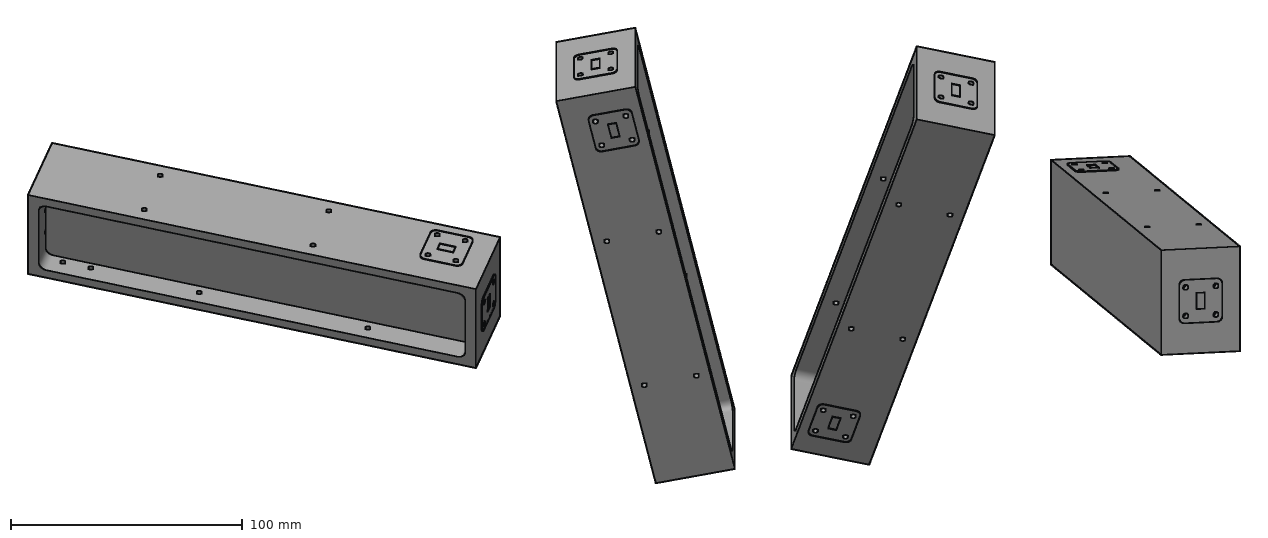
import cadquery as cq

overall_length = 203.2
overall_height = 47.0
depth = 35.0
pad_thickness = 0.5
length = overall_length - 2 * pad_thickness
height = overall_height - 2 * pad_thickness

end_wall = 4.9
side_wall = 4.5
pocket_depth = 10.0
pocket_corner = 3.7

pad_size = 19.0
pad_corner = 2.5
port_length = 7.1
port_width = 3.7
bolt_spacing_long = 12.5
bolt_spacing_wide = 13.5
bolt_diameter = 2.2
bolt_depth = 5.0
flange_inset = 20.0
flange_offset = 3.7
flange_x = length / 2 - flange_inset

mount_spacing_x = 76.2
mount_spacing_y = 23.0
mount_offset_x = -12.4
mount_diameter = 2.2
mount_depth = 6.0

X_AXIS = (1, 0, 0)
Z_AXIS = (0, 0, 1)


def make_pocket():
    """Rounded rectangular pocket volume, open at the front face."""
    return (
        cq.Workplane("XZ", origin=(0, -depth / 2, 0))
        .rect(length - 2 * end_wall, height - 2 * side_wall)
        .extrude(-pocket_depth)
        .edges("|Y")
        .fillet(pocket_corner)
    )


def hole_grid(plane, spacing_x, spacing_y, diameter, hole_depth):
    """Four blind holes at the corners of a rectangle, going down from the plane."""
    return (
        cq.Workplane(plane)
        .rect(spacing_x, spacing_y, forConstruction=True)
        .vertices()
        .circle(diameter / 2)
        .extrude(-hole_depth)
    )


def add_flange(body, center, long_axis, normal):
    """Raised rounded pad with a port recess and four bolt holes, centred on a box face."""
    box_face = cq.Plane(center, long_axis, normal)
    pad_face = cq.Workplane(box_face).workplane(offset=pad_thickness).plane
    outline = cq.Sketch().rect(pad_size, pad_size).vertices().fillet(pad_corner)
    pad = cq.Workplane(box_face).placeSketch(outline).extrude(pad_thickness)
    port = cq.Workplane(pad_face).rect(port_length, port_width).extrude(-pad_thickness)
    bolts = hole_grid(pad_face, bolt_spacing_long, bolt_spacing_wide, bolt_diameter, bolt_depth)
    return body.union(pad).cut(port).cut(bolts)


body = cq.Workplane("XY").box(length, depth, height).cut(make_pocket())

for side in (1, -1):
    face_z = side * height / 2
    normal_z = (0, 0, side)
    mount_plane = cq.Plane((side * mount_offset_x, 0, face_z), X_AXIS, normal_z)
    body = body.cut(hole_grid(mount_plane, mount_spacing_x, mount_spacing_y, mount_diameter, mount_depth))
    body = add_flange(body, (side * flange_x, side * flange_offset, face_z), X_AXIS, normal_z)
    body = add_flange(body, (side * length / 2, 0, 0), Z_AXIS, (side, 0, 0))

result = body